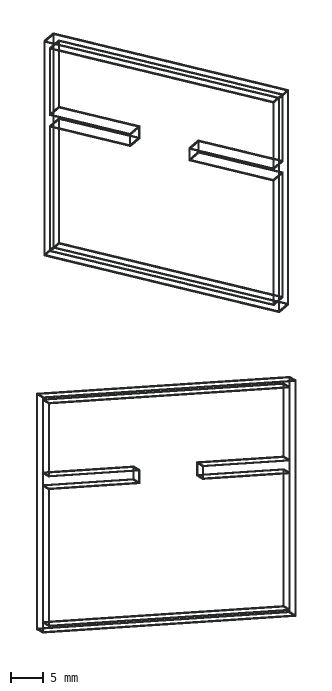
import cadquery as cq

width = 41.0
depth = 3.0
height = 37.0
wall = 1.0

left_arm_reach = 15.0
right_arm_reach = 15.65
arm_thickness = 2.0
arm_bottom_height = 22.5


def make_frame():
    """Thin-walled rectangular frame, open along Y."""
    opening = cq.Workplane("XY").box(width - 2 * wall, depth, height - 2 * wall)
    return cq.Workplane("XY").box(width, depth, height).cut(opening)


def make_arm(side, reach):
    """Full-depth arm from the left (side=-1) or right (side=1) outer face."""
    center_x = side * (width - reach) / 2
    center_z = -height / 2 + arm_bottom_height + arm_thickness / 2
    return cq.Workplane("XY").box(reach, depth, arm_thickness).translate((center_x, 0, center_z))


left_arm = make_arm(-1, left_arm_reach)
right_arm = make_arm(1, right_arm_reach)
result = make_frame().union(left_arm).union(right_arm).clean()